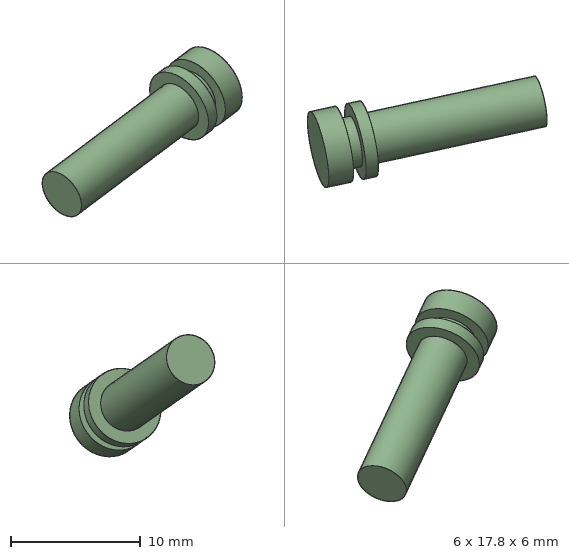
import cadquery as cq

total_length = 17.8
shaft_diameter = 4.0
head_diameter = 6.0
head_thickness = 2.0
collar_thickness = head_thickness / 2
groove_width = head_thickness / 2

collar_start = head_thickness + groove_width


def disc(diameter, start, length):
    """Cylinder on the Y axis, running toward -Y from a distance behind the head face."""
    plane = cq.Workplane("XZ", origin=(0, total_length - start, 0))
    return plane.circle(diameter / 2).extrude(length)


shaft = disc(shaft_diameter, 0, total_length)
head = disc(head_diameter, 0, head_thickness)
collar = disc(head_diameter, collar_start, collar_thickness)

result = shaft.union(head).union(collar)